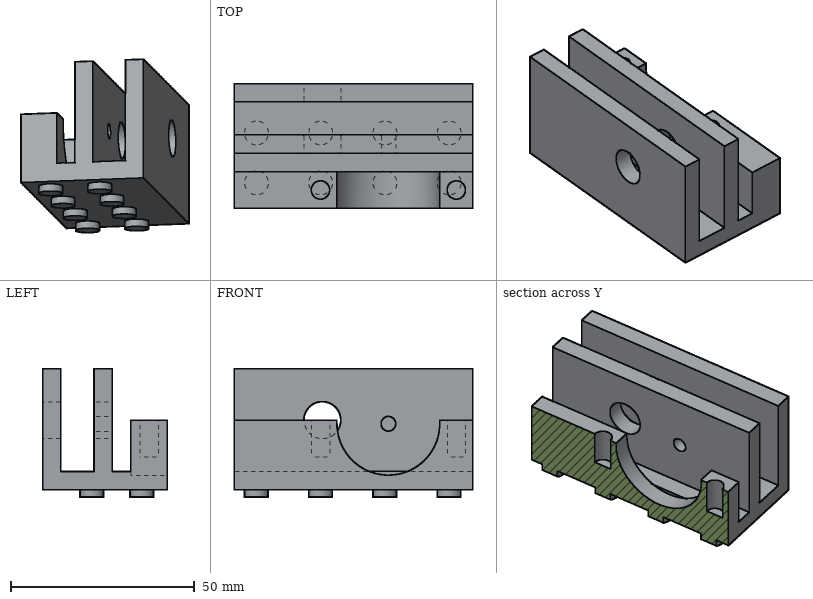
import cadquery as cq

LENGTH = 65.0
FLOOR_THICKNESS = 5.0
WALL_THICKNESS = 5.0
WALL_TOP = 33.0
BLOCK_DEPTH = 10.0
BLOCK_TOP = 19.0
FRONT_GAP = 5.0
REAR_GAP = 9.0

MIDDLE_WALL_Y = BLOCK_DEPTH + FRONT_GAP
REAR_WALL_Y = MIDDLE_WALL_Y + WALL_THICKNESS + REAR_GAP
DEPTH = REAR_WALL_Y + WALL_THICKNESS

CRADLE_X = 42.0
CRADLE_Z = 18.0
CRADLE_RADIUS = 14.0

SCREW_DIAMETER = 5.0
SCREW_SPACING = 37.0
SCREW_DEPTH = 10.0

SHAFT_HOLE_DIAMETER = 4.0
CROSS_HOLE_DIAMETER = 10.0
CROSS_HOLE_X = 24.0
CROSS_HOLE_Z = 19.0

PEG_DIAMETER = 6.5
PEG_HEIGHT = 2.0
PEG_COLUMNS = 4
PEG_FIRST_X = 6.0
PEG_PITCH_X = 17.5
PEG_ROWS_Y = (7.0, 20.6)


def slab(y_start, thickness, height):
    """Full-length slab standing on the underside plane."""
    return cq.Workplane("XY").box(LENGTH, thickness, height, centered=False).translate((0, y_start, 0))


def bore_along_y(x, z, diameter, y_start, y_end):
    """Cylinder running toward +Y between two Y positions."""
    axis_start = cq.Vector(x, y_start, z)
    return cq.Workplane(cq.Solid.makeCylinder(diameter / 2, y_end - y_start, axis_start, cq.Vector(0, 1, 0)))


def make_body():
    body = slab(0, DEPTH, FLOOR_THICKNESS)
    body = body.union(slab(0, BLOCK_DEPTH, BLOCK_TOP))
    for wall_y in (MIDDLE_WALL_Y, REAR_WALL_Y):
        body = body.union(slab(wall_y, WALL_THICKNESS, WALL_TOP))
    return body


def make_cradle_cut():
    """Half-round seat with straight sides up to the top of the front block."""
    seat = bore_along_y(CRADLE_X, CRADLE_Z, 2 * CRADLE_RADIUS, 0, BLOCK_DEPTH)
    mouth = cq.Workplane("XY").box(
        2 * CRADLE_RADIUS, BLOCK_DEPTH, BLOCK_TOP - CRADLE_Z, centered=(True, False, False)
    )
    return seat.union(mouth.translate((CRADLE_X, 0, CRADLE_Z)))


def make_screw_holes():
    offset = SCREW_SPACING / 2
    return (
        cq.Workplane("XY", origin=(CRADLE_X, BLOCK_DEPTH / 2, BLOCK_TOP))
        .pushPoints([(-offset, 0), (offset, 0)])
        .circle(SCREW_DIAMETER / 2)
        .extrude(-SCREW_DEPTH)
    )


def make_wall_holes():
    """Shaft hole in the middle wall only, larger hole through both walls."""
    middle_wall_back = MIDDLE_WALL_Y + WALL_THICKNESS
    shaft = bore_along_y(CRADLE_X, CRADLE_Z, SHAFT_HOLE_DIAMETER, MIDDLE_WALL_Y, middle_wall_back)
    cross = bore_along_y(CROSS_HOLE_X, CROSS_HOLE_Z, CROSS_HOLE_DIAMETER, MIDDLE_WALL_Y, DEPTH)
    return shaft.union(cross)


def make_pegs():
    centers = [(PEG_FIRST_X + i * PEG_PITCH_X, y) for i in range(PEG_COLUMNS) for y in PEG_ROWS_Y]
    return cq.Workplane("XY").pushPoints(centers).circle(PEG_DIAMETER / 2).extrude(-PEG_HEIGHT)


result = (
    make_body()
    .cut(make_cradle_cut())
    .cut(make_screw_holes())
    .cut(make_wall_holes())
    .union(make_pegs())
)